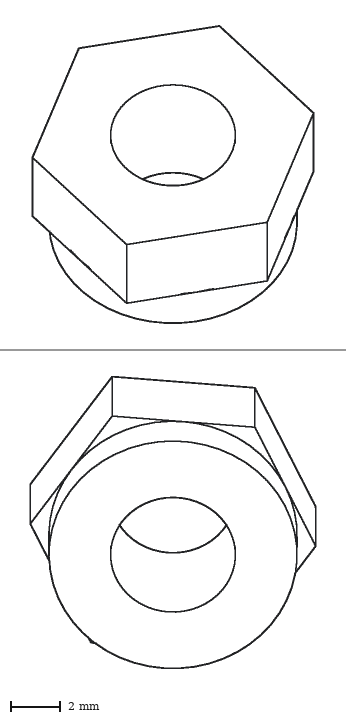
import cadquery as cq
import math

overall_width = 11.54
hex_turn = 2.3
total_height = 6.0
collar_height = total_height / 3
hex_height = total_height - collar_height
bore_diameter = 5.03

corner_diameter = overall_width / math.cos(math.radians(hex_turn))
collar_diameter = corner_diameter * math.cos(math.radians(30))

collar = cq.Workplane("XY").circle(collar_diameter / 2).extrude(collar_height)

head = (
    cq.Workplane("XY")
    .workplane(offset=collar_height)
    .transformed(rotate=(0, 0, hex_turn))
    .polygon(6, corner_diameter)
    .extrude(hex_height)
)

bore = cq.Workplane("XY").circle(bore_diameter / 2).extrude(total_height)

result = collar.union(head).cut(bore)